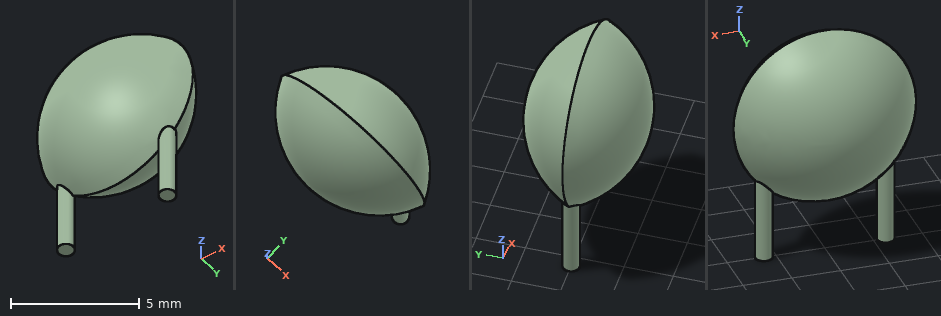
import cadquery as cq

total_height = 9.59
disc_diameter = 7.5
disc_thickness = 5.0

lead_diameter = 0.7
lead_spacing = 5.0
lead_straight_length = 3.28
bend_radius = 0.96

disc_radius = disc_diameter / 2
half_thickness = disc_thickness / 2
lead_radius = lead_diameter / 2
lead_bottom = disc_radius - total_height

cap_radius = (disc_radius**2 + half_thickness**2) / (2 * half_thickness)


def lens_body():
    """Lens centred on the origin, revolved about Y, with its sharp rim in the XZ plane."""
    half_profile = (
        cq.Workplane("XY")
        .moveTo(0, -half_thickness)
        .radiusArc((disc_radius, 0), -cap_radius)
        .radiusArc((0, half_thickness), -cap_radius)
        .close()
    )
    return half_profile.revolve(360, (0, 0, 0), (0, 1, 0))


def lead(side):
    """Vertical wire that bends a quarter turn towards the middle once it enters the lens rim."""
    x = side * lead_spacing / 2
    bend_start = lead_bottom + lead_straight_length
    wire = cq.Workplane("XY", origin=(x, 0, lead_bottom)).circle(lead_radius).extrude(lead_straight_length)
    bend = (
        cq.Workplane("XY", origin=(x, 0, bend_start))
        .circle(lead_radius)
        .revolve(90, (-side * bend_radius, 0), (-side * bend_radius, -side))
    )
    return wire.union(bend)


result = lens_body()
for side in (-1, 1):
    result = result.union(lead(side))